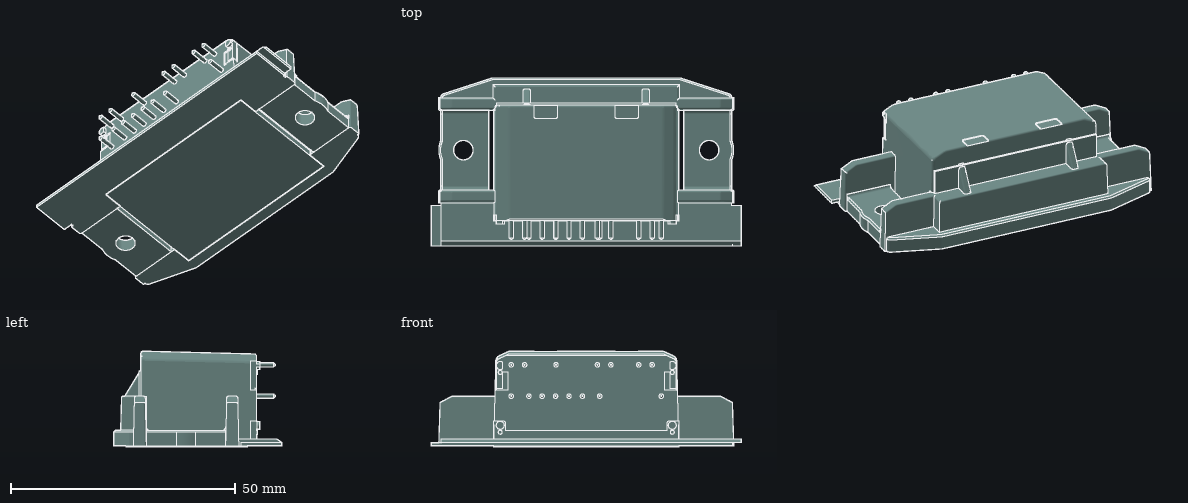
import cadquery as cq


FRONT_Y = -21.4
BACK_Y = 16.15
TOP_Z = 21.37
BASE_Z = 0.2

MARGIN = 1.0

HOUSING_FRONT_Y = -15.75
HOUSING_BACK_Y = 10.1
ROOF_DROP = 0.65
ROOF_HALF = 17.2
SIDE_TOP_HALF = 20.2
SHOULDER_DROP = 1.4
SIDE_LOW_HALF = 20.65
ROOF_EDGE = 0.35
BACK_RADIUS = 0.6
SHOULDER_RADIUS = 1.3
RIDGE_RADIUS = 1.4

BACK_PLATE_Y = 10.5
BACK_PLATE_HALF = 20.0
BACK_PLATE_TOP_Z = 16.9

PAD_FRONT_Y = -13.7
PAD_BACK_Y = 13.4

RECESS_X = 9.05
RECESS_WIDTH = 5.3
RECESS_FRONT_Y = 7.05
RECESS_DEPTH = 0.2
RECESS_RADIUS = 0.5

SILL_TOP_Z = 3.6
SILL_STEP = 0.1
SILL_CORNER_TOP_Z = 5.8
SILL_CORNER_X = 18.0
SILL_CORNER_RADIUS = 0.6
CORNER_NOTCH_BACK_Y = -14.45
CORNER_NOTCH_BOTTOM_Z = 12.7
CORNER_NOTCH_TOP_Z = 19.5
CORNER_NOTCH_X = 20.04
INSERT_INNER_X = 18.65
INSERT_BOTTOM_Z = 13.05
INSERT_TOP_Z = 19.2
LATCH_INNER_X = 17.45
LATCH_TOP_Z = 16.75
LATCH_DEPTH = 0.3

STUD_X = 19.2
STUD_DIAMETER = 1.8
STUD_LENGTH = 0.75
LOWER_STUD_Z = 4.8
UPPER_STUD_Z = 18.15
NIB_DIAMETER = 0.9
NIB_LENGTH = 0.25
NIB_DROP = 1.55

PIN_DIAMETER = 1.0
PIN_TIP_Y = -19.95
PIN_TIP_CHAMFER = 0.4
PIN_ROOT = 1.0
UPPER_PIN_Z = 18.3
UPPER_PINS_X = [-16.75, -13.75, -6.75, 2.5, 5.5, 11.7, 14.7]
LOWER_PIN_Z = 11.3
LOWER_PINS_X = [-16.75, -12.8, -9.85, -6.85, -3.85, -0.85, 3.0, 16.75]

HOLE_X = 27.43
HOLE_DIAMETER = 4.3
EAR_HALF = 32.5
EAR_TOP_Z = 3.65
EAR_EDGE = 0.4
BUMP_RADIUS = 5.5
SLOT_INNER_X = SIDE_LOW_HALF
SLOT_OUTER_X = 21.75

WALL_INNER_Y = 8.85
FRONT_WALL_Y = -11.8
BACK_WALL_Y = 11.75
WALL_DRAFT = 0.25
WALL_HALF_LOW = 32.95
WALL_HALF_TOP = 32.65
WALL_TOP_Z = 11.3
WALL_ROOT_X = 17.2
WALL_SLOPE_X = 30.0
WALL_SLOPE_Z = 9.9
WALL_TOP_RADIUS = 0.4
WALL_BEND_RADIUS = 0.9
WALL_FOOT_RADIUS = 0.8

FLANGE_TOP_Z = 3.7
FLANGE_EDGE = 0.4
BLOCK_HALF = 20.95
FLANGE_CORNER_Y = 12.4
FLANGE_CORNER_RADIUS = 1.0
BLOCK_BACK_Y = 14.7
BLOCK_DRAFT = 0.3
BLOCK_TOP_Z = 11.3
BLOCK_EDGE = 0.4

GUSSET_X = 13.28
GUSSET_WIDTH = 1.7
GUSSET_FOOT_Y = 13.7
GUSSET_TOP_Z = 17.2
GUSSET_EDGE = 0.5

APRON_BACK_Y = -12.3
APRON_LOW_TOP_Z = 0.95
APRON_TOP_Z = 1.75
APRON_OUTER_X = 34.625
APRON_LOW_INNER_X = 32.7
APRON_UP_INNER_X = 32.45
APRON_BEVEL = 1.1


def box(x0, x1, y0, y1, z0, z1):
    """Box between two opposite corners."""
    return cq.Workplane("XY").box(x1 - x0, y1 - y0, z1 - z0, centered=False).translate((x0, y0, z0))


def side_profile(points, x0, x1):
    """Extrude a (y, z) outline from x0 to x1."""
    return cq.Workplane("YZ").workplane(offset=x0).polyline(points).close().extrude(x1 - x0)


def front_profile(points, y0, y1):
    """Extrude an (x, z) outline from y0 to y1."""
    return cq.Workplane("XZ").workplane(offset=-y1).polyline(points).close().extrude(y1 - y0)


def both_sides(shape):
    """The shape together with its mirror image across X = 0."""
    return shape.union(shape.mirror("YZ"))


def housing_section(roof_z):
    """Closed (x, z) outline of the housing for a given roof height."""
    right = [
        (SIDE_LOW_HALF, 0),
        (SIDE_TOP_HALF, roof_z - SHOULDER_DROP),
        (ROOF_HALF, roof_z),
    ]
    return right + [(-x, z) for x, z in reversed(right)]


def roof_height(y):
    """Height of the sloping roof at a given y; it peaks where the back edge round starts."""
    peak_y = HOUSING_BACK_Y - BACK_RADIUS
    return TOP_Z - ROOF_DROP * (peak_y - y) / (HOUSING_BACK_Y - HOUSING_FRONT_Y)


def make_housing():
    """Drafted box with sloping shoulders and a roof that falls towards the front."""
    length = HOUSING_BACK_Y - HOUSING_FRONT_Y
    middle_y = (HOUSING_BACK_Y + HOUSING_FRONT_Y) / 2
    roof_front_z = roof_height(HOUSING_FRONT_Y)
    body = (
        cq.Workplane("XZ", origin=(0, HOUSING_BACK_Y, 0))
        .polyline(housing_section(roof_height(HOUSING_BACK_Y))).close()
        .workplane(offset=length)
        .polyline(housing_section(roof_front_z)).close()
        .loft(ruled=True)
    )
    for x, drop, radius in (
        (SIDE_TOP_HALF, SHOULDER_DROP, SHOULDER_RADIUS),
        (ROOF_HALF, 0, RIDGE_RADIUS),
    ):
        for side in (-1, 1):
            middle = (side * x, middle_y, roof_height(middle_y) - drop)
            body = body.edges(cq.selectors.NearestToPointSelector(middle)).fillet(radius)
    envelope = side_profile(
        [
            (HOUSING_FRONT_Y, 0),
            (HOUSING_FRONT_Y, roof_front_z - ROOF_EDGE),
            (HOUSING_FRONT_Y + 2 * ROOF_EDGE, roof_front_z + ROOF_EDGE),
            (HOUSING_BACK_Y, TOP_Z + ROOF_EDGE),
            (HOUSING_BACK_Y, 0),
        ],
        -SIDE_LOW_HALF, SIDE_LOW_HALF,
    )
    body = body.intersect(envelope)
    back_rim = cq.selectors.BoxSelector(
        (-SIDE_LOW_HALF, HOUSING_BACK_Y - ROOF_EDGE, TOP_Z - 2 * SHOULDER_DROP),
        (SIDE_LOW_HALF, HOUSING_BACK_Y + ROOF_EDGE, TOP_Z + ROOF_EDGE),
    )
    return body.edges(back_rim).fillet(BACK_RADIUS)


def make_roof_recess():
    """Shallow cutter, open at the back edge of the roof."""
    cutter = box(
        RECESS_X - RECESS_WIDTH / 2, RECESS_X + RECESS_WIDTH / 2,
        RECESS_FRONT_Y, HOUSING_BACK_Y,
        TOP_Z - ROOF_DROP, TOP_Z,
    ).edges("|Z and <Y").fillet(RECESS_RADIUS)
    above_floor = side_profile(
        [
            (RECESS_FRONT_Y, roof_height(RECESS_FRONT_Y) - RECESS_DEPTH),
            (HOUSING_BACK_Y, roof_height(HOUSING_BACK_Y) - RECESS_DEPTH),
            (HOUSING_BACK_Y, TOP_Z),
            (RECESS_FRONT_Y, TOP_Z),
        ],
        0, 2 * RECESS_X,
    )
    return cutter.intersect(above_floor)


def insert_column(front_y):
    """Upright block of the corner insert, reaching forward to front_y."""
    return box(
        INSERT_INNER_X, CORNER_NOTCH_X, front_y, CORNER_NOTCH_BACK_Y, INSERT_BOTTOM_Z, INSERT_TOP_Z,
    )


def make_corner_cuts():
    """Notch on the upper side corner and the latch pocket beside it."""
    notch = box(
        CORNER_NOTCH_X, SIDE_LOW_HALF,
        HOUSING_FRONT_Y, CORNER_NOTCH_BACK_Y,
        CORNER_NOTCH_BOTTOM_Z, CORNER_NOTCH_TOP_Z,
    )
    latch = box(
        LATCH_INNER_X, SIDE_LOW_HALF,
        HOUSING_FRONT_Y, HOUSING_FRONT_Y + LATCH_DEPTH,
        CORNER_NOTCH_BOTTOM_Z, LATCH_TOP_Z,
    )
    return notch.union(latch.cut(insert_column(HOUSING_FRONT_Y)))


def make_sill():
    """Raised sill along the foot of the connector face, taller at its corners."""
    y0 = HOUSING_FRONT_Y - SILL_STEP
    sill = box(-STUD_X, STUD_X, y0, HOUSING_FRONT_Y, BASE_Z, SILL_TOP_Z)
    corner = box(
        SILL_CORNER_X, SIDE_LOW_HALF, y0, CORNER_NOTCH_BACK_Y, BASE_Z, SILL_CORNER_TOP_Z,
    ).edges("<X and >Z").fillet(SILL_CORNER_RADIUS)
    return sill.union(both_sides(corner))


def rod(x, z, diameter, tip_y):
    """Round rod along Y, rooted in the housing and ending at tip_y."""
    root_y = HOUSING_FRONT_Y + PIN_ROOT
    return cq.Workplane("XZ", origin=(x, root_y, z)).circle(diameter / 2).extrude(root_y - tip_y)


def make_studs():
    """Locating studs and nibs on one side; the upper stud is trimmed to the corner insert."""
    tip_y = HOUSING_FRONT_Y - STUD_LENGTH
    upper = rod(STUD_X, UPPER_STUD_Z, STUD_DIAMETER, tip_y).intersect(insert_column(tip_y))
    studs = rod(STUD_X, LOWER_STUD_Z, STUD_DIAMETER, tip_y).union(upper)
    for z in (LOWER_STUD_Z, UPPER_STUD_Z):
        studs = studs.union(rod(STUD_X, z - NIB_DROP, NIB_DIAMETER, HOUSING_FRONT_Y - NIB_LENGTH))
    return studs


def make_pins():
    """Two rows of contact pins with chamfered tips."""
    pins = cq.Workplane("XY")
    for row_z, row_x in ((UPPER_PIN_Z, UPPER_PINS_X), (LOWER_PIN_Z, LOWER_PINS_X)):
        for x in row_x:
            pin = rod(x, row_z, PIN_DIAMETER, PIN_TIP_Y).faces("<Y").chamfer(PIN_TIP_CHAMFER)
            pins = pins.union(pin)
    return pins


def make_wall(inner_y, outer_y):
    """Upright ear wall on the +X side, drafted, with a sloping outer top corner."""
    draft = WALL_DRAFT if outer_y > inner_y else -WALL_DRAFT
    across = side_profile(
        [
            (inner_y, BASE_Z),
            (outer_y, BASE_Z),
            (outer_y - draft, WALL_TOP_Z),
            (inner_y + draft, WALL_TOP_Z),
        ],
        0, WALL_HALF_LOW,
    )
    along = front_profile(
        [
            (WALL_ROOT_X, BASE_Z),
            (WALL_HALF_LOW, BASE_Z),
            (WALL_HALF_TOP, WALL_SLOPE_Z),
            (WALL_SLOPE_X, WALL_TOP_Z),
            (WALL_ROOT_X, WALL_TOP_Z),
        ],
        min(inner_y, outer_y), max(inner_y, outer_y),
    )
    wall = across.intersect(along)
    bend = (WALL_SLOPE_X, (inner_y + outer_y) / 2, WALL_TOP_Z)
    wall = wall.edges(cq.selectors.NearestToPointSelector(bend)).fillet(WALL_BEND_RADIUS)
    top_edges = cq.selectors.BoxSelector(
        (WALL_ROOT_X + MARGIN, -BACK_Y, WALL_SLOPE_Z), (WALL_HALF_LOW, BACK_Y, TOP_Z),
    )
    inner_upright = cq.selectors.NearestToPointSelector((WALL_HALF_LOW, inner_y, WALL_SLOPE_Z / 2))
    rounded = wall.edges("not(|Y)").edges(top_edges).add(wall.edges(inner_upright))
    return wall.newObject(rounded.vals()).fillet(WALL_TOP_RADIUS)


def make_wall_foot(direction):
    """Concave fillet between the ear floor and the wall on the given side (+1 back, -1 front)."""
    wall_y = direction * WALL_INNER_Y
    near_y = wall_y - direction * WALL_FOOT_RADIUS
    root_y = wall_y + direction * WALL_DRAFT
    profile = (
        cq.Workplane("YZ").workplane(offset=SLOT_OUTER_X)
        .moveTo(near_y, EAR_TOP_Z)
        .radiusArc((wall_y, EAR_TOP_Z + WALL_FOOT_RADIUS), -direction * WALL_FOOT_RADIUS)
        .lineTo(root_y, EAR_TOP_Z + WALL_FOOT_RADIUS)
        .lineTo(root_y, EAR_TOP_Z)
        .close()
    )
    return profile.extrude(EAR_HALF - SLOT_OUTER_X)


def make_ear():
    """Ear floor on the +X side with its walls, slot, bump and mounting hole."""
    floor = box(
        SLOT_OUTER_X, EAR_HALF, -WALL_INNER_Y, WALL_INNER_Y, BASE_Z, EAR_TOP_Z,
    )
    bump = (
        cq.Workplane("XY", origin=(HOLE_X, 0, BASE_Z))
        .circle(BUMP_RADIUS).extrude(EAR_TOP_Z - BASE_Z)
    )
    floor = floor.union(bump).edges(">Z").edges(
        cq.selectors.BoxSelector(
            (EAR_HALF - EAR_EDGE, -WALL_INNER_Y, EAR_TOP_Z - EAR_EDGE),
            (HOLE_X + 2 * BUMP_RADIUS, WALL_INNER_Y, EAR_TOP_Z + EAR_EDGE),
        )
    ).chamfer(EAR_EDGE)
    hole = (
        cq.Workplane("XY", origin=(HOLE_X, 0, BASE_Z))
        .circle(HOLE_DIAMETER / 2).extrude(EAR_TOP_Z)
    )
    ear = floor.cut(hole)
    for direction, outer_y in ((1, BACK_WALL_Y), (-1, FRONT_WALL_Y)):
        ear = ear.union(make_wall(direction * WALL_INNER_Y, outer_y))
        ear = ear.union(make_wall_foot(direction))
    return ear


def make_back_flange():
    """Low flange behind the back walls, tapering towards both ends."""
    flange = (
        cq.Workplane("XY", origin=(0, 0, BASE_Z))
        .polyline([
            (-EAR_HALF, WALL_INNER_Y + WALL_FOOT_RADIUS),
            (EAR_HALF, WALL_INNER_Y + WALL_FOOT_RADIUS),
            (EAR_HALF, FLANGE_CORNER_Y),
            (BLOCK_HALF, BACK_Y),
            (-BLOCK_HALF, BACK_Y),
            (-EAR_HALF, FLANGE_CORNER_Y),
        ]).close()
        .extrude(FLANGE_TOP_Z - BASE_Z)
    )
    end_corners = cq.selectors.BoxSelector(
        (-EAR_HALF - MARGIN, FLANGE_CORNER_Y - MARGIN, 0),
        (EAR_HALF + MARGIN, FLANGE_CORNER_Y + MARGIN, TOP_Z),
    )
    flange = flange.edges("|Z").edges(end_corners).fillet(FLANGE_CORNER_RADIUS)
    back_edges = cq.selectors.BoxSelector(
        (-EAR_HALF, FLANGE_CORNER_Y, FLANGE_EDGE), (EAR_HALF, BACK_Y + MARGIN, TOP_Z),
    )
    return flange.edges(">Z").edges(back_edges).chamfer(FLANGE_EDGE)


def make_back_block():
    """Raised block behind the housing, with drafted sides and rounded top edges."""
    across = side_profile(
        [
            (WALL_INNER_Y, BASE_Z),
            (BLOCK_BACK_Y, BASE_Z),
            (BLOCK_BACK_Y - BLOCK_DRAFT, BLOCK_TOP_Z),
            (WALL_INNER_Y, BLOCK_TOP_Z),
        ],
        -BLOCK_HALF, BLOCK_HALF,
    )
    along = front_profile(
        [
            (-BLOCK_HALF, BASE_Z),
            (BLOCK_HALF, BASE_Z),
            (BLOCK_HALF - BLOCK_DRAFT, BLOCK_TOP_Z),
            (BLOCK_DRAFT - BLOCK_HALF, BLOCK_TOP_Z),
        ],
        WALL_INNER_Y, BLOCK_BACK_Y,
    )
    return across.intersect(along).faces(">Z").edges("not(<Y)").fillet(BLOCK_EDGE)


def make_gusset():
    """Triangular brace from the back block up to the housing."""
    gusset = side_profile(
        [
            (WALL_INNER_Y, BASE_Z),
            (GUSSET_FOOT_Y, BASE_Z),
            (GUSSET_FOOT_Y, BLOCK_TOP_Z),
            (HOUSING_BACK_Y, GUSSET_TOP_Z),
            (WALL_INNER_Y, GUSSET_TOP_Z),
        ],
        GUSSET_X - GUSSET_WIDTH / 2, GUSSET_X + GUSSET_WIDTH / 2,
    )
    slope_edges = cq.selectors.BoxSelector(
        (0, HOUSING_BACK_Y + MARGIN, BLOCK_TOP_Z + MARGIN), (2 * GUSSET_X, GUSSET_FOOT_Y, GUSSET_TOP_Z),
    )
    return gusset.edges(slope_edges).fillet(GUSSET_EDGE)


def make_apron():
    """Thin front apron: lower plate shifted to -X, bevelled upper plate shifted to +X."""
    lower = box(
        -APRON_OUTER_X, APRON_LOW_INNER_X, FRONT_Y, APRON_BACK_Y, BASE_Z, APRON_LOW_TOP_Z,
    )
    upper = side_profile(
        [
            (FRONT_Y, APRON_LOW_TOP_Z),
            (FRONT_Y + APRON_BEVEL, APRON_TOP_Z),
            (APRON_BACK_Y, APRON_TOP_Z),
            (APRON_BACK_Y, APRON_LOW_TOP_Z),
        ],
        -APRON_UP_INNER_X, APRON_OUTER_X,
    )
    joint = box(
        -APRON_UP_INNER_X, APRON_UP_INNER_X,
        APRON_BACK_Y, -WALL_INNER_Y - WALL_DRAFT,
        BASE_Z, APRON_TOP_Z,
    )
    return lower.union(upper).union(joint)


housing = make_housing()
housing = housing.cut(both_sides(make_roof_recess()))
housing = housing.cut(both_sides(make_corner_cuts()))

pad = box(-SIDE_LOW_HALF, SIDE_LOW_HALF, PAD_FRONT_Y, PAD_BACK_Y, 0, APRON_TOP_Z)
above_base = box(
    -SIDE_LOW_HALF, SIDE_LOW_HALF, HOUSING_FRONT_Y, HOUSING_BACK_Y, BASE_Z, TOP_Z,
)
back_plate = box(
    -BACK_PLATE_HALF, BACK_PLATE_HALF, WALL_INNER_Y, BACK_PLATE_Y, BASE_Z, BACK_PLATE_TOP_Z,
)
slot = box(SLOT_INNER_X, SLOT_OUTER_X, -WALL_INNER_Y, WALL_INNER_Y, 0, TOP_Z)

result = housing.intersect(above_base).union(pad).union(back_plate)
result = result.union(both_sides(make_ear()))
result = result.union(make_back_flange())
result = result.union(make_back_block())
result = result.union(both_sides(make_gusset()))
result = result.union(make_apron())
result = result.cut(both_sides(slot))
result = result.union(make_sill())
result = result.union(both_sides(make_studs()))
result = result.union(make_pins())